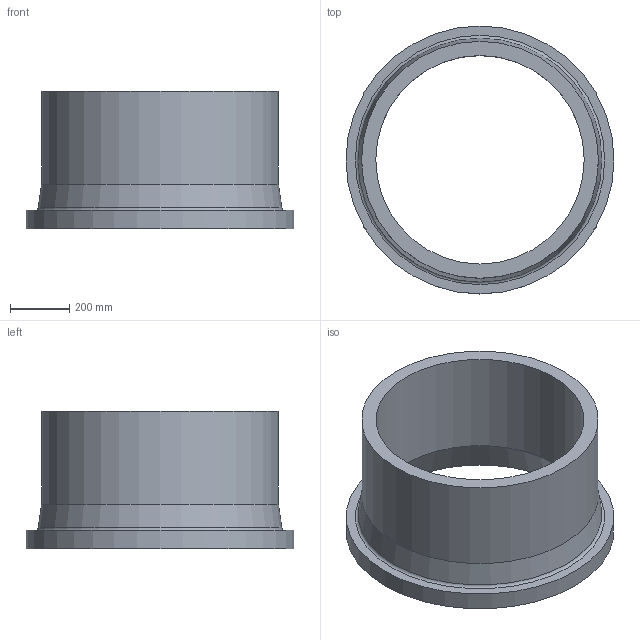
import cadquery as cq
import math

total_height = 463.0

flange_radius = 905.0 / 2
flange_thickness = 61.0

pipe_radius = 400.0
bore_radius = 352.0

hub_top_height = 150.0
hub_taper_angle = math.radians(8.0)
hub_fillet_radius = 10.0

flare_radius = 389.0
flare_depth = 106.0

hub_foot_radius = pipe_radius + (hub_top_height - flange_thickness) * math.tan(hub_taper_angle)
fillet_sweep = math.pi / 2 - hub_taper_angle
fillet_tangent_length = hub_fillet_radius * math.tan(fillet_sweep / 2)
fillet_center_radius = hub_foot_radius + fillet_tangent_length
fillet_center_height = flange_thickness + hub_fillet_radius


def fillet_point(angle):
    """Point on the fillet arc, swept by angle from its contact with the flange top."""
    return (
        fillet_center_radius - hub_fillet_radius * math.sin(angle),
        fillet_center_height - hub_fillet_radius * math.cos(angle),
    )


def wall_profile():
    """Closed half section of the wall: radius along local x, height along local y."""
    return (
        cq.Workplane("XZ")
        .moveTo(flare_radius, 0)
        .lineTo(flange_radius, 0)
        .lineTo(flange_radius, flange_thickness)
        .lineTo(*fillet_point(0))
        .threePointArc(fillet_point(fillet_sweep / 2), fillet_point(fillet_sweep))
        .lineTo(pipe_radius, hub_top_height)
        .lineTo(pipe_radius, total_height)
        .lineTo(bore_radius, total_height)
        .lineTo(bore_radius, flare_depth)
        .close()
    )


result = wall_profile().revolve(360, (0, 0, 0), (0, 1, 0))